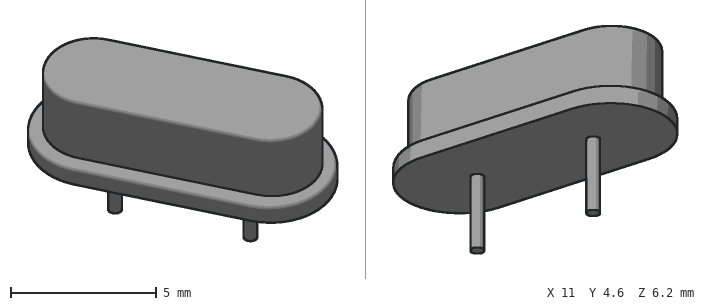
import cadquery as cq

flange_length = 10.95
flange_width = 4.6
flange_height = 0.75

can_length = 9.93
can_width = 3.5
can_height = 2.6

rim_radius = 0.2

lead_diameter = 0.48
lead_spacing = 4.88
lead_length = 2.85


def rounded_slot_body(length, width, height, bottom_z):
    """Upright body with full-round ends and a rounded upper rim."""
    body = cq.Workplane("XY").workplane(offset=bottom_z).slot2D(length, width).extrude(height)
    return body.faces(">Z").edges().fillet(rim_radius)


def leads():
    """Pair of leads, spaced evenly about the centre, hanging from the flange."""
    lead_centres = [(-lead_spacing / 2, 0), (lead_spacing / 2, 0)]
    return cq.Workplane("XY").pushPoints(lead_centres).circle(lead_diameter / 2).extrude(-lead_length)


flange = rounded_slot_body(flange_length, flange_width, flange_height, 0)
can = rounded_slot_body(can_length, can_width, can_height, flange_height)

result = flange.union(can).union(leads())